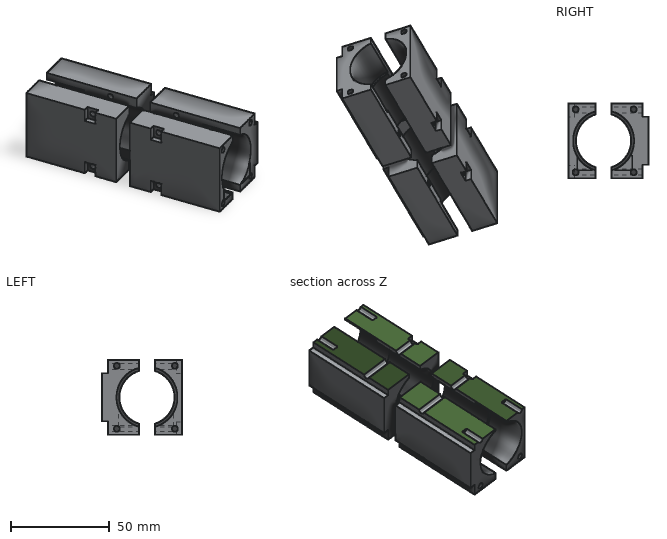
import cadquery as cq


total_length = 111.5
badge_height = 0.2
body_gap = 7.8
body_length = (total_length - badge_height - body_gap) / 2
inner_end = body_gap / 2
outer_end = inner_end + body_length

height = 38.0
parting_gap = 8.0
parting_y = parting_gap / 2
front_depth = 13.8
back_depth = 15.8
rib_depth = 3.0
rib_height = 24.4

bore_radius = 13.9
wide_bore_radius = 15.5
wide_bore_length = 21.5

hole_diameter = 3.0
end_hole_depth = 11.2
end_hole_z = 16.0
front_end_hole_y = 14.2
back_end_hole_y = 15.3
screw_inset = 15.0
screw_z = 15.7
screw_x = inner_end + screw_inset

pocket_width = 6.0
pocket_height = 6.7
pocket_depth = 3.0

badge_inner_y = 6.0
badge_top_z = -7.7
badge_bottom_z = -14.9
front_badge_width = 7.2
back_badge_width = 8.6


def box(x_min, x_max, y_min, y_max, z_min, z_max):
    """Box given by its limits along each axis."""
    return cq.Workplane("XY").box(
        x_max - x_min, y_max - y_min, z_max - z_min, centered=False
    ).translate((x_min, y_min, z_min))


def x_cylinder(radius, x_min, x_max, y=0, z=0):
    """Cylinder parallel to X."""
    return cq.Workplane("YZ", origin=(x_min, y, z)).circle(radius).extrude(x_max - x_min)


def cut_bore(body):
    """Cut the through bore and its wider outer part."""
    body = body.cut(x_cylinder(bore_radius, inner_end, outer_end))
    shoulder = outer_end - wide_bore_length
    return body.cut(x_cylinder(wide_bore_radius, shoulder, total_length))


def cut_holes(body, end_hole_y):
    """Cut the blind end holes and the cross holes for the clamping screws."""
    for side in (-1, 1):
        body = body.cut(x_cylinder(
            hole_diameter / 2, outer_end - end_hole_depth, total_length, end_hole_y, side * end_hole_z
        ))
        cross_hole = (
            cq.Workplane("XZ", origin=(screw_x, 0, side * screw_z))
            .circle(hole_diameter / 2)
            .extrude(total_length, both=True)
        )
        body = body.cut(cross_hole)
    return body


def cut_pockets(body, front_face):
    """Cut the screw head pockets into the front face at its top and bottom edges."""
    left = screw_x - pocket_width / 2
    right = screw_x + pocket_width / 2
    floor = front_face + pocket_depth
    pocket_start = height / 2 - pocket_height
    body = body.cut(box(left, right, front_face, floor, pocket_start, height / 2))
    return body.cut(box(left, right, front_face, floor, -height / 2, -pocket_start))


def badge(y_min, y_max):
    """Raised patch on the outer end face."""
    return box(outer_end, outer_end + badge_height, y_min, y_max, badge_bottom_z, badge_top_z)


def front_half(with_badge):
    """Front clamp half of the +X pair."""
    front_face = -parting_y - front_depth
    body = box(inner_end, outer_end, front_face, -parting_y, -height / 2, height / 2)
    if with_badge:
        body = body.union(badge(-badge_inner_y - front_badge_width, -badge_inner_y))
    body = cut_holes(cut_bore(body), -front_end_hole_y)
    return cut_pockets(body, front_face)


def back_half(with_badge):
    """Back clamp half of the +X pair, with a rib along its back face."""
    back_face = parting_y + back_depth
    body = box(inner_end, outer_end, parting_y, back_face, -height / 2, height / 2)
    rib = box(inner_end, outer_end, back_face, back_face + rib_depth, -rib_height / 2, rib_height / 2)
    body = body.union(rib)
    if with_badge:
        body = body.union(badge(badge_inner_y, badge_inner_y + back_badge_width))
    return cut_holes(cut_bore(body), back_end_hole_y)


bodies = []
for make_half in (front_half, back_half):
    plus_x_half = make_half(with_badge=True)
    minus_x_half = make_half(with_badge=False).mirror("YZ")
    bodies += [plus_x_half.val(), minus_x_half.val()]

result = cq.Compound.makeCompound(bodies)